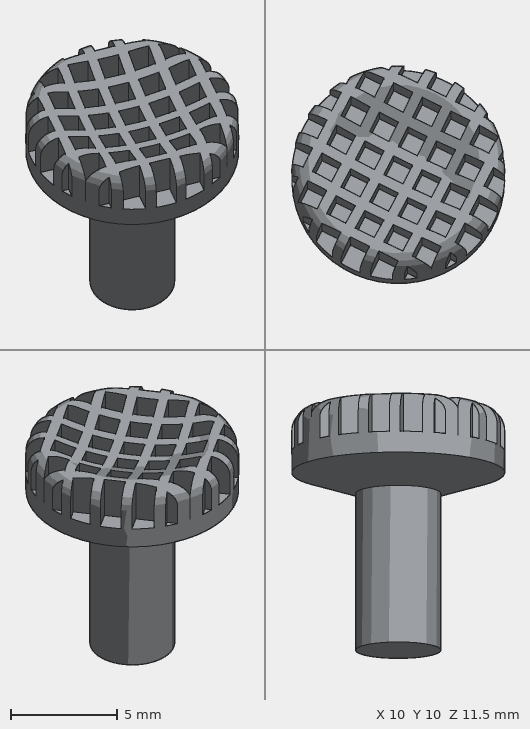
import cadquery as cq
import math

total_height = 11.5
head_diameter = 10.0
shank_diameter = 4.0
cone_height = 1.0
collar_height = 1.0
grip_height = 2.0
rim_radius = 1.0
dish_radius = 10.0
pocket_side = 1.0
pocket_angle = 45.0

web_thickness = pocket_side / 2
pocket_pitch = pocket_side + web_thickness

head_radius = head_diameter / 2
shank_radius = shank_diameter / 2
pocket_floor = total_height - grip_height
collar_bottom = pocket_floor - collar_height
cone_bottom = collar_bottom - cone_height


def arc_point(center, radius, angle):
    """Point on a circle in the radius-height plane, angle in radians."""
    return (center[0] + radius * math.cos(angle), center[1] + radius * math.sin(angle))


def make_body():
    """Turned shank and head: the rounded rim runs tangentially into a spherical dish."""
    rim_center = (head_radius - rim_radius, total_height - rim_radius)
    center_distance = dish_radius + rim_radius
    dish_angle = math.asin(rim_center[0] / center_distance)
    dish_center = (0, rim_center[1] + center_distance * math.cos(dish_angle))

    rim_end_angle = math.pi / 2 + dish_angle
    rim_middle = arc_point(rim_center, rim_radius, rim_end_angle / 2)
    rim_end = arc_point(rim_center, rim_radius, rim_end_angle)
    dish_middle = arc_point(dish_center, dish_radius, (dish_angle - math.pi) / 2)
    dish_bottom = (0, dish_center[1] - dish_radius)

    profile = (
        cq.Workplane("XZ")
        .moveTo(0, 0)
        .lineTo(shank_radius, 0)
        .lineTo(shank_radius, cone_bottom)
        .lineTo(head_radius, collar_bottom)
        .lineTo(head_radius, rim_center[1])
        .threePointArc(rim_middle, rim_end)
        .threePointArc(dish_middle, dish_bottom)
        .close()
    )
    return profile.revolve(360, (0, 0, 0), (0, 1, 0))


def make_pockets():
    """Diagonal grid of square pockets that covers the head and breaks out at its edge."""
    reach = math.ceil(head_radius / pocket_pitch)
    steps = range(-reach, reach + 1)
    corner_reach = head_radius + pocket_side / math.sqrt(2)
    centers = []
    for column in steps:
        for row in steps:
            center = (column * pocket_pitch, row * pocket_pitch)
            if math.hypot(*center) < corner_reach:
                centers.append(center)
    return (
        cq.Workplane("XY")
        .workplane(offset=pocket_floor)
        .pushPoints(centers)
        .rect(pocket_side, pocket_side)
        .extrude(grip_height)
        .rotate((0, 0, 0), (0, 0, 1), pocket_angle)
    )


result = make_body().cut(make_pockets())